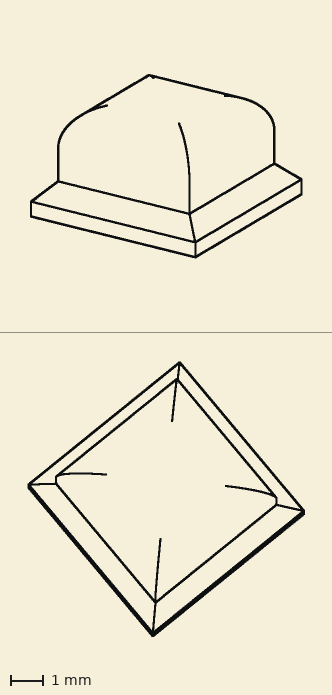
import cadquery as cq

base_width = 6.0
base_height = 0.5
shoulder_inset = 0.6
shoulder_height = 0.6

total_height = 3.5
round_radius = 1.3

cap_width = base_width - 2 * shoulder_inset
cap_bottom = base_height + shoulder_height
cap_height = total_height - cap_bottom


def make_base():
    """Straight flange, chamfered above down to the width of the cap."""
    return (
        cq.Workplane("XY")
        .box(base_width, base_width, base_height + shoulder_height, centered=(True, True, False))
        .faces(">Z")
        .chamfer(shoulder_height, shoulder_inset)
    )


def make_rounded_bar(edge_direction):
    """Square block with the two top edges along one direction rounded."""
    return (
        cq.Workplane("XY")
        .workplane(offset=cap_bottom)
        .box(cap_width, cap_width, cap_height, centered=(True, True, False))
        .edges(f">Z and |{edge_direction}")
        .fillet(round_radius)
    )


cap = make_rounded_bar("X").intersect(make_rounded_bar("Y"))

result = make_base().union(cap)